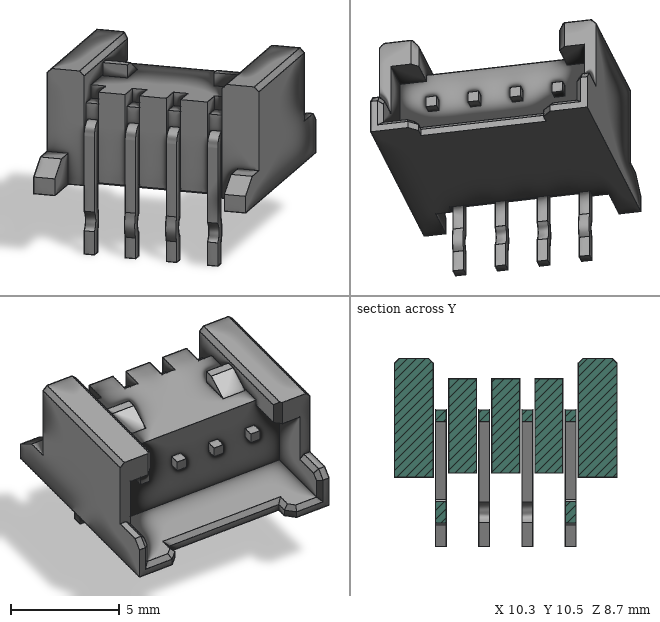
import cadquery as cq
import math


width = 10.3
depth = 8.5
height = 5.5
wall = 0.55
bevel = 0.22

pin_count = 4
pin_span = 6.0
pin_size = 0.5
pin_rear_y = -0.3
pin_tip_y = 5.5
pin_top_z = 3.15
pin_bottom_z = -3.2
bend_radius = 0.67
kink_z = -1.61
kink_bulge = 0.13
kink_bulge_half = 0.6
kink_dent = 0.2
kink_dent_half = 0.47

slot_width = 0.7
slot_depth = 0.27
slot_top_depth = 1.07
slot_ledge_z = 3.92

tray_height = 2.0
tray_nose = 0.4
rail_front_y = 6.8
rail_bottom_z = 4.25
rail_corner = 0.3
notch_half_width = 2.97
notch_depth = 0.9
notch_corner = 0.41

block_front_y = 5.0
block_top_z = 4.57
undercut_height = 0.2
undercut_depth = 0.5

lug_inner_x = 2.1
lug_width = 1.2
lug_height = 0.63
lug_rear_y = 2.65
lug_flat = 0.42
lug_length = 1.47

foot_width = 1.03
foot_length = 2.0
foot_flat = 0.99
foot_height = 1.49
foot_tip_height = 0.81

half_width = width / 2
cavity_half = half_width - wall
pitch = pin_span / (pin_count - 1)
pin_positions = [(i - (pin_count - 1) / 2) * pitch for i in range(pin_count)]
rail_inner_x = pin_positions[-1] + slot_width / 2
tolerance = 0.001


def box(x0, x1, y0, y1, z0, z1):
    """Block spanning the given limits."""
    return cq.Workplane("XY").box(x1 - x0, y1 - y0, z1 - z0, centered=False).translate((x0, y0, z0))


def extrude_side(points, x0, x1):
    """Closed (Y, Z) outline extruded from x0 to x1."""
    return cq.Workplane("YZ").polyline(points).close().extrude(x1 - x0).translate((x0, 0, 0))


def both_sides(body):
    """The body together with its mirror image across X = 0."""
    return body.union(body.mirror("YZ"))


def is_mouth_edge(edge):
    """True for the tray edges that form the lead-in: inner wall edges and front floor edges."""
    limits = edge.BoundingBox()
    center = edge.Center()
    on_inner_wall = limits.xlen < tolerance and abs(abs(center.x) - cavity_half) < tolerance
    above_floor = limits.zmax > wall + tolerance
    clear_of_rear = center.y > tolerance
    at_floor_level = limits.zlen < tolerance and abs(center.z - wall) < tolerance
    at_front = limits.ymin > depth - notch_depth - tolerance
    return (on_inner_wall and above_floor and clear_of_rear) or (at_floor_level and at_front)


def make_tray():
    """Low floor with side walls, notched at the front and beveled around the mouth."""
    outline = [
        (0, 0),
        (depth, 0),
        (depth, tray_height - tray_nose),
        (depth - tray_nose, tray_height),
        (0, tray_height),
    ]
    tray = extrude_side(outline, -half_width, half_width)
    tray = tray.cut(box(-cavity_half, cavity_half, 0, depth, wall, tray_height))
    notch_rear = depth - notch_depth
    notch = (
        cq.Workplane("XY")
        .moveTo(-notch_half_width, notch_rear)
        .lineTo(notch_half_width, notch_rear)
        .lineTo(notch_half_width, depth - notch_corner)
        .lineTo(notch_half_width + notch_corner, depth)
        .lineTo(-notch_half_width - notch_corner, depth)
        .lineTo(-notch_half_width, depth - notch_corner)
        .close()
        .extrude(wall)
    )
    tray = tray.cut(notch)
    mouth_edges = [edge for edge in tray.edges().vals() if is_mouth_edge(edge)]
    return tray.newObject(mouth_edges).chamfer(bevel)


def make_rails():
    """Tall side walls whose tops overhang the cavity."""
    rail = box(rail_inner_x, half_width, 0, rail_front_y, 0, height)
    rail = rail.edges("|Z and >Y and <X").chamfer(rail_corner)
    rail = rail.faces(">Z").edges("|Y").chamfer(bevel)
    rail = rail.cut(box(rail_inner_x, cavity_half, block_front_y, rail_front_y, wall, rail_bottom_z))
    return both_sides(rail)


def make_pin_block():
    """Central block carrying the pins, slotted at the rear."""
    block = box(-rail_inner_x, rail_inner_x, 0, block_front_y, 0, block_top_z)
    for x in pin_positions:
        left = x - slot_width / 2
        right = x + slot_width / 2
        block = block.cut(box(left, right, 0, slot_depth, 0, block_top_z))
        block = block.cut(box(left, right, 0, slot_top_depth, slot_ledge_z, block_top_z))
    return block


def make_lugs():
    """Ramped lugs that rise from the front and drop off square at the rear."""
    top_z = block_top_z + lug_height
    outline = [
        (lug_rear_y, block_top_z),
        (lug_rear_y, top_z),
        (lug_rear_y + lug_flat, top_z),
        (lug_rear_y + lug_length, block_top_z),
    ]
    return both_sides(extrude_side(outline, lug_inner_x, lug_inner_x + lug_width))


def make_feet():
    """Sloped feet reaching back from the outer lower corners."""
    outline = [
        (0, 0),
        (0, foot_height),
        (-foot_flat, foot_height),
        (-foot_length, foot_tip_height),
        (-foot_length, 0),
    ]
    return both_sides(extrude_side(outline, half_width - foot_width, half_width))


def make_pin(x, kink_direction):
    """Square pin bent down at the rear; its tail kinks toward kink_direction along Y."""
    front_y = pin_rear_y + pin_size
    bend_y = pin_rear_y + bend_radius
    bend_z = pin_top_z - bend_radius
    inner_radius = bend_radius - pin_size
    diagonal = math.sqrt(0.5)
    kinks_back = kink_direction < 0
    rear_half = kink_bulge_half if kinks_back else kink_dent_half
    front_half = kink_dent_half if kinks_back else kink_bulge_half
    rear_shift = kink_direction * (kink_bulge if kinks_back else kink_dent)
    front_shift = kink_direction * (kink_dent if kinks_back else kink_bulge)
    outer_mid = (bend_y - bend_radius * diagonal, bend_z + bend_radius * diagonal)
    inner_mid = (bend_y - inner_radius * diagonal, bend_z + inner_radius * diagonal)
    profile = (
        cq.Workplane("YZ")
        .moveTo(pin_tip_y, pin_top_z)
        .lineTo(bend_y, pin_top_z)
        .threePointArc(outer_mid, (pin_rear_y, bend_z))
        .lineTo(pin_rear_y, kink_z + rear_half)
        .threePointArc((pin_rear_y + rear_shift, kink_z), (pin_rear_y, kink_z - rear_half))
        .lineTo(pin_rear_y, pin_bottom_z)
        .lineTo(front_y, pin_bottom_z)
        .lineTo(front_y, kink_z - front_half)
        .threePointArc((front_y + front_shift, kink_z), (front_y, kink_z + front_half))
        .lineTo(front_y, bend_z)
        .threePointArc(inner_mid, (bend_y, pin_top_z - pin_size))
        .lineTo(pin_tip_y, pin_top_z - pin_size)
        .close()
    )
    return profile.extrude(pin_size).translate((x - pin_size / 2, 0, 0))


result = make_tray().union(make_rails())
result = result.cut(box(-rail_inner_x, rail_inner_x, 0, slot_depth, 0, height))
result = result.union(make_pin_block())
result = result.cut(box(-rail_inner_x, rail_inner_x, 0, undercut_depth, 0, undercut_height))
result = result.union(make_lugs()).union(make_feet())

for index, pin_x in enumerate(pin_positions):
    at_end = index in (0, pin_count - 1)
    result = result.union(make_pin(pin_x, 1 if at_end else -1))